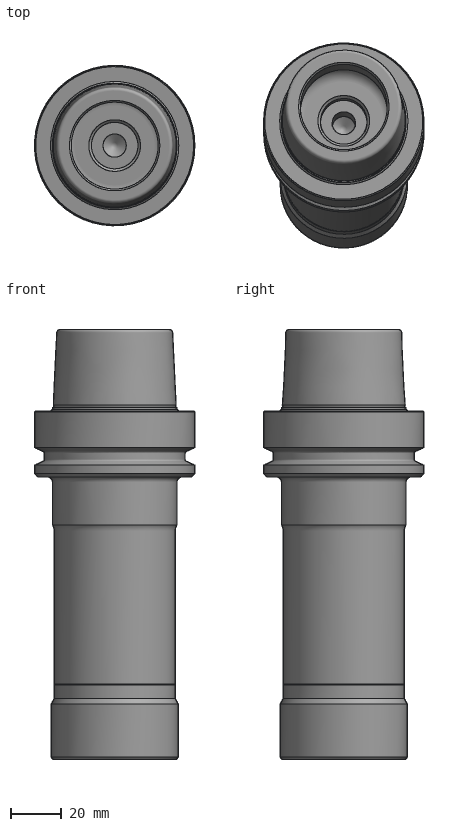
import cadquery as cq
import math


TOTAL_HEIGHT = 168.9
FLANGE_RADIUS = 31.5

NUT_HEIGHT = 29.4
NUT_RADIUS = 25.0
NUT_COLLAR_RADIUS = 23.8
NUT_CONE_BOTTOM = 21.8
NUT_CONE_TOP = 24.0
NUT_BOTTOM_CHAMFER_RADIAL = 0.8
NUT_BOTTOM_CHAMFER_HEIGHT = 1.0

SHANK_RADIUS = 23.8
SHANK_EDGE_CHAMFER = 0.3
NECK_RADIUS = 24.5
NECK_BOTTOM = 92.2
NECK_BLEND_HEIGHT = 2.4
NECK_FILLET = 2.0

FLANGE_BOTTOM = 111.0
FLANGE_TOP = 137.0
FLANGE_BOTTOM_CHAMFER = 1.4
FLANGE_TOP_CHAMFER = 0.5
GROOVE_RADIUS = 27.7
GROOVE_MIDDLE = 119.0
GROOVE_MOUTH_WIDTH = 7.0
GROOVE_FLOOR_WIDTH = 3.4
GROOVE_FILLET = 0.7

COLLAR_BASE_RADIUS = 25.2
COLLAR_RADIUS = 24.5
COLLAR_CONE_TOP = 137.5
COLLAR_TOP = 138.2
RELIEF_RADIUS = 23.8
TAPER_BOTTOM = 139.2
TAPER_BOTTOM_RADIUS = 24.2
TAPER_TOP_RADIUS = 22.8
TAPER_TOP_FILLET = 1.4

MOUTH_RADIUS = 17.0
MOUTH_CHAMFER = 0.7
MOUTH_DEPTH = 12.5
UNDERCUT_RADIUS = 20.3
BORE_DEPTH = 30.2
BORE_FLOOR_FILLET = 4.5
RECESS_RADIUS = 9.1
RECESS_CHAMFER = 1.0
RECESS_DEPTH = 5.0
DRILL_RADIUS = 4.5
DRILL_DEPTH = 10.1
DRILL_TIP_ANGLE = 118.0


def revolve_outline(outline):
    """Turn a closed half section into a solid of revolution about Z."""
    return outline.close().revolve(360, (0, 0, 0), (0, 1, 0))


def make_nut():
    outline = (
        cq.Workplane("XZ")
        .moveTo(0, 0)
        .lineTo(NUT_RADIUS - NUT_BOTTOM_CHAMFER_RADIAL, 0)
        .lineTo(NUT_RADIUS, NUT_BOTTOM_CHAMFER_HEIGHT)
        .lineTo(NUT_RADIUS, NUT_CONE_BOTTOM)
        .lineTo(NUT_COLLAR_RADIUS, NUT_CONE_TOP)
        .lineTo(NUT_COLLAR_RADIUS, NUT_HEIGHT)
        .lineTo(0, NUT_HEIGHT)
    )
    return revolve_outline(outline)


def make_holder_blank():
    half_mouth = GROOVE_MOUTH_WIDTH / 2
    half_floor = GROOVE_FLOOR_WIDTH / 2
    fillet_start = TOTAL_HEIGHT - TAPER_TOP_FILLET
    fillet_end_radius = TAPER_TOP_RADIUS - TAPER_TOP_FILLET
    fillet_45 = TAPER_TOP_FILLET * math.sqrt(0.5)
    neck_45 = NECK_FILLET * (1 - math.sqrt(0.5))
    outline = (
        cq.Workplane("XZ")
        .moveTo(0, NUT_HEIGHT)
        .lineTo(SHANK_RADIUS - SHANK_EDGE_CHAMFER, NUT_HEIGHT)
        .lineTo(SHANK_RADIUS, NUT_HEIGHT + SHANK_EDGE_CHAMFER)
        .lineTo(SHANK_RADIUS, NECK_BOTTOM - NECK_BLEND_HEIGHT)
        .tangentArcPoint((NECK_RADIUS, NECK_BOTTOM), relative=False)
        .lineTo(NECK_RADIUS, FLANGE_BOTTOM - NECK_FILLET)
        .threePointArc(
            (NECK_RADIUS + neck_45, FLANGE_BOTTOM - neck_45),
            (NECK_RADIUS + NECK_FILLET, FLANGE_BOTTOM),
        )
        .lineTo(FLANGE_RADIUS - FLANGE_BOTTOM_CHAMFER, FLANGE_BOTTOM)
        .lineTo(FLANGE_RADIUS, FLANGE_BOTTOM + FLANGE_BOTTOM_CHAMFER)
        .lineTo(FLANGE_RADIUS, GROOVE_MIDDLE - half_mouth)
        .lineTo(GROOVE_RADIUS, GROOVE_MIDDLE - half_floor)
        .lineTo(GROOVE_RADIUS, GROOVE_MIDDLE + half_floor)
        .lineTo(FLANGE_RADIUS, GROOVE_MIDDLE + half_mouth)
        .lineTo(FLANGE_RADIUS, FLANGE_TOP - FLANGE_TOP_CHAMFER)
        .lineTo(FLANGE_RADIUS - FLANGE_TOP_CHAMFER, FLANGE_TOP)
        .lineTo(COLLAR_BASE_RADIUS, FLANGE_TOP)
        .lineTo(COLLAR_RADIUS, COLLAR_CONE_TOP)
        .lineTo(COLLAR_RADIUS, COLLAR_TOP)
        .lineTo(RELIEF_RADIUS, COLLAR_TOP)
        .lineTo(TAPER_BOTTOM_RADIUS, TAPER_BOTTOM)
        .lineTo(TAPER_TOP_RADIUS, fillet_start)
        .threePointArc(
            (fillet_end_radius + fillet_45, fillet_start + fillet_45),
            (fillet_end_radius, TOTAL_HEIGHT),
        )
        .lineTo(0, TOTAL_HEIGHT)
    )
    return round_groove_floor(revolve_outline(outline))


def round_groove_floor(holder):
    """Fillet the two circular corners at the floor of the flange groove."""
    floor_corners = cq.selectors.BoxSelector(
        (-FLANGE_RADIUS, -FLANGE_RADIUS, GROOVE_MIDDLE - GROOVE_FLOOR_WIDTH),
        (FLANGE_RADIUS, FLANGE_RADIUS, GROOVE_MIDDLE + GROOVE_FLOOR_WIDTH),
    )
    return holder.edges(floor_corners).edges("%CIRCLE").fillet(GROOVE_FILLET)


def make_cavity():
    mouth_bottom = TOTAL_HEIGHT - MOUTH_DEPTH
    floor = TOTAL_HEIGHT - BORE_DEPTH
    recess_floor = floor - RECESS_DEPTH
    drill_bottom = recess_floor - DRILL_DEPTH
    tip_depth = DRILL_RADIUS / math.tan(math.radians(DRILL_TIP_ANGLE / 2))
    floor_45 = BORE_FLOOR_FILLET * (1 - math.sqrt(0.5))
    outline = (
        cq.Workplane("XZ")
        .moveTo(0, drill_bottom - tip_depth)
        .lineTo(DRILL_RADIUS, drill_bottom)
        .lineTo(DRILL_RADIUS, recess_floor)
        .lineTo(RECESS_RADIUS, recess_floor)
        .lineTo(RECESS_RADIUS, floor - RECESS_CHAMFER)
        .lineTo(RECESS_RADIUS + RECESS_CHAMFER, floor)
        .lineTo(UNDERCUT_RADIUS - BORE_FLOOR_FILLET, floor)
        .threePointArc(
            (UNDERCUT_RADIUS - floor_45, floor + floor_45),
            (UNDERCUT_RADIUS, floor + BORE_FLOOR_FILLET),
        )
        .lineTo(UNDERCUT_RADIUS, mouth_bottom)
        .lineTo(MOUTH_RADIUS, mouth_bottom)
        .lineTo(MOUTH_RADIUS, TOTAL_HEIGHT - MOUTH_CHAMFER)
        .lineTo(MOUTH_RADIUS + MOUTH_CHAMFER, TOTAL_HEIGHT)
        .lineTo(0, TOTAL_HEIGHT)
    )
    return revolve_outline(outline)


nut = make_nut()
holder = make_holder_blank().cut(make_cavity())

result = cq.Compound.makeCompound([nut.val(), holder.val()])